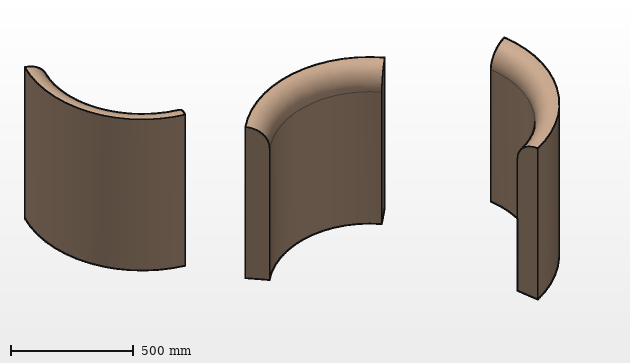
import cadquery as cq
import math

height = 800.0
outer_radius = 510.0
thickness = 100.0
edge_radius = thickness
sweep_angle = 90.0

inner_radius = outer_radius - thickness
shoulder_height = height - edge_radius
arc_offset = edge_radius * math.sqrt(0.5)
arc_middle = (outer_radius - arc_offset, shoulder_height + arc_offset)

profile = (
    cq.Workplane("XZ")
    .moveTo(inner_radius, 0)
    .lineTo(outer_radius, 0)
    .lineTo(outer_radius, height)
    .threePointArc(arc_middle, (inner_radius, shoulder_height))
    .close()
)

wall = profile.revolve(sweep_angle, (0, 0), (0, 1))
result = wall.rotate((0, 0, 0), (0, 0, 1), -sweep_angle)